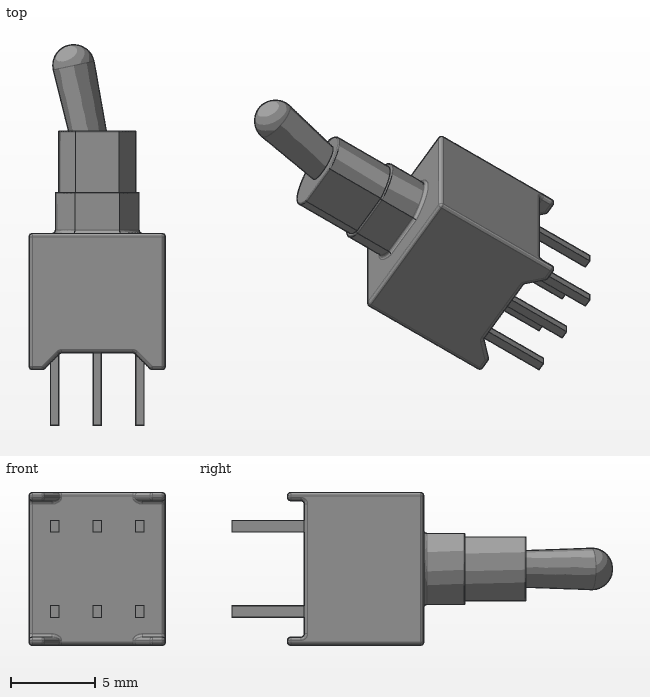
import cadquery as cq
import math


overall_length = 22.65
lever_tip_y = 11.23
pin_end_y = lever_tip_y - overall_length

housing_width = 8.1
housing_height = 9.1
housing_length = 7.11
edge_radius = 0.2

foot_length = 1.0
foot_thickness = 0.5
foot_tip_width = 0.85

lower_diameter = 5.0
lower_flats = 4.24
lower_length = 2.45
upper_diameter = 4.6
upper_flats = 3.8
upper_length = 3.65
bushing_edge_radius = 0.07

lever_tilt = 12.0
lever_half_taper = 2.0
ball_radius = 1.25
ball_offset_x = -1.4

pin_width = 0.5
pin_height = 0.7
pin_pitch = 2.54
pin_row_spacing = 5.07
pin_columns = 3
pin_rows = 2


def make_housing():
    """Filleted box with a 45 degree foot in each corner of the terminal side."""
    foot_tip_y = -housing_length - foot_length
    body = cq.Workplane("XY").box(
        housing_width, -foot_tip_y, housing_height, centered=(True, False, True)
    ).translate((0, foot_tip_y, 0))

    gap = cq.Workplane("XY").box(
        housing_width, foot_length, housing_height - 2 * foot_thickness, centered=(True, False, True)
    ).translate((0, foot_tip_y, 0))

    notch_outer = housing_width / 2 - foot_tip_width
    notch_inner = notch_outer - foot_length
    notch = (
        cq.Workplane("XY")
        .moveTo(-notch_outer, foot_tip_y)
        .lineTo(-notch_inner, -housing_length)
        .lineTo(notch_inner, -housing_length)
        .lineTo(notch_outer, foot_tip_y)
        .close()
        .extrude(housing_height / 2, both=True)
    )
    return body.cut(gap).cut(notch).edges().fillet(edge_radius)


def make_bushing_step(diameter, flats, start_y, length):
    """Round step along +Y with two flats and a softened outer rim."""
    cylinder = cq.Workplane("XZ").circle(diameter / 2).extrude(-length)
    slab = cq.Workplane("XY").box(diameter, length, flats, centered=(True, False, True))
    step = cylinder.intersect(slab).faces(">Y").edges().fillet(bushing_edge_radius)
    return step.translate((0, start_y, 0))


def make_lever():
    """Cone with a ball end, rooted inside the bushing."""
    ball_y = lever_tip_y - ball_radius
    root_depth = (ball_y - lower_length) / math.cos(math.radians(lever_tilt))
    root_radius = ball_radius - root_depth * math.tan(math.radians(lever_half_taper))
    profile = (
        cq.Workplane("XY")
        .moveTo(0, -root_depth)
        .lineTo(-root_radius, -root_depth)
        .lineTo(-ball_radius, 0)
        .radiusArc((0, ball_radius), ball_radius)
        .close()
    )
    lever = profile.revolve(360, (0, 0, 0), (0, 1, 0))
    return lever.rotate((0, 0, 0), (0, 0, 1), lever_tilt).translate((ball_offset_x, ball_y, 0))


def make_pins():
    """Rows of rectangular terminals leaving the housing toward -Y."""
    return (
        cq.Workplane("XZ", origin=(0, -housing_length, 0))
        .rarray(pin_pitch, pin_row_spacing, pin_columns, pin_rows)
        .rect(pin_width, pin_height)
        .extrude(-housing_length - pin_end_y)
    )


lower_step = make_bushing_step(lower_diameter, lower_flats, 0, lower_length)
upper_step = make_bushing_step(upper_diameter, upper_flats, lower_length, upper_length)

root_reach = lower_diameter / 2
bushing_root = cq.selectors.BoxSelector(
    (-root_reach, -edge_radius / 2, -root_reach), (root_reach, edge_radius / 2, root_reach)
)
switch = make_housing().union(lower_step).edges(bushing_root).fillet(edge_radius)

result = switch.union(upper_step).union(make_lever()).union(make_pins())